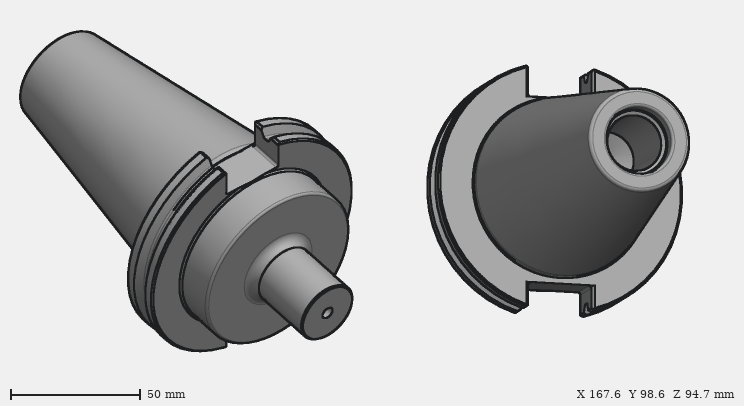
import cadquery as cq
import math


TOTAL_LENGTH = 167.6

TAPER_LENGTH = 101.5
GAUGE_RADIUS = 35.0
TAPER_RATE = 7 / 24
SMALL_END_RADIUS = GAUGE_RADIUS - TAPER_LENGTH * TAPER_RATE / 2
SMALL_END_FILLET = 1.5

FLANGE_RADIUS = 49.3
FLANGE_START = 3.2
FLANGE_END = 19.0
FLANGE_CHAMFER = 0.7
REAR_ROOT_FILLET = 0.5
FRONT_ROOT_FILLET = 0.8
GROOVE_CENTER = 11.2
GROOVE_DEPTH = 3.9
GROOVE_HALF_WIDTH = 3.5
GROOVE_WALL_ANGLE = math.radians(30)
GROOVE_FILLET = 1.0

NOSE_END = 35.0
NOSE_FILLET = 1.0
PIN_RADIUS = 12.5
PIN_FILLET = 4.0

SLOT_WIDTH = 25.5
SLOT_EDGE_CHAMFER = 1.09
SLOT_FLOOR_FILLET = 1.0
TOP_SLOT_FLOOR = 35.2
BOTTOM_SLOT_FLOOR = 37.7

BORE_RADIUS = 13.0
BORE_DEPTH = 6.0
BORE_FILLET = 1.2
THREAD_RADIUS = 10.9
COUNTERSINK_RADIUS = 12.5
COUNTERSINK_LENGTH = 1.0
THREAD_DEPTH = 43.5
COOLANT_RADIUS = 2.43
DRILL_POINT_ANGLE = math.radians(118)

PIN_START = NOSE_END + PIN_FILLET
PIN_END = TOTAL_LENGTH - TAPER_LENGTH
PIN_CHAMFER = 0.5


def revolve_about_x(outline):
    """Close an outline and turn it a full circle about the X axis."""
    return outline.close().revolve(360, (0, 0, 0), (1, 0, 0))


def make_blank():
    """Taper, flange and nose in one turned outline; the last arc runs out to the pin radius."""
    outline = (
        cq.Workplane("XZ")
        .moveTo(-TAPER_LENGTH, 0)
        .lineTo(-TAPER_LENGTH, SMALL_END_RADIUS)
        .lineTo(0, GAUGE_RADIUS)
        .lineTo(FLANGE_START - REAR_ROOT_FILLET, GAUGE_RADIUS)
        .radiusArc((FLANGE_START, GAUGE_RADIUS + REAR_ROOT_FILLET), -REAR_ROOT_FILLET)
        .lineTo(FLANGE_START, FLANGE_RADIUS - FLANGE_CHAMFER)
        .lineTo(FLANGE_START + FLANGE_CHAMFER, FLANGE_RADIUS)
        .lineTo(FLANGE_END - FLANGE_CHAMFER, FLANGE_RADIUS)
        .lineTo(FLANGE_END, FLANGE_RADIUS - FLANGE_CHAMFER)
        .lineTo(FLANGE_END, GAUGE_RADIUS + FRONT_ROOT_FILLET)
        .radiusArc((FLANGE_END + FRONT_ROOT_FILLET, GAUGE_RADIUS), -FRONT_ROOT_FILLET)
        .lineTo(NOSE_END - NOSE_FILLET, GAUGE_RADIUS)
        .radiusArc((NOSE_END, GAUGE_RADIUS - NOSE_FILLET), NOSE_FILLET)
        .lineTo(NOSE_END, PIN_RADIUS + PIN_FILLET)
        .radiusArc((PIN_START, PIN_RADIUS), -PIN_FILLET)
        .lineTo(PIN_START, 0)
    )
    blank = revolve_about_x(outline)
    return blank.faces("<X").edges().fillet(SMALL_END_FILLET)


def make_groove_ring():
    """Trapezoid ring that cuts the V-groove, with rounded bottom corners."""
    bottom_radius = FLANGE_RADIUS - GROOVE_DEPTH
    bottom_half = GROOVE_HALF_WIDTH - GROOVE_DEPTH * math.tan(GROOVE_WALL_ANGLE)
    outline = (
        cq.Workplane("XZ")
        .moveTo(GROOVE_CENTER - GROOVE_HALF_WIDTH, FLANGE_RADIUS)
        .lineTo(GROOVE_CENTER - bottom_half, bottom_radius)
        .lineTo(GROOVE_CENTER + bottom_half, bottom_radius)
        .lineTo(GROOVE_CENTER + GROOVE_HALF_WIDTH, FLANGE_RADIUS)
    )
    ring = revolve_about_x(outline)
    bottom_edges = cq.selectors.RadiusNthSelector(0)
    return ring.edges("%CIRCLE").edges(bottom_edges).fillet(GROOVE_FILLET)


def make_slot(floor):
    """Cutter for an upward-facing slot through the flange, with rounded floor corners."""
    slot_start = FLANGE_START - REAR_ROOT_FILLET
    slot_length = FLANGE_END + FRONT_ROOT_FILLET - slot_start
    return (
        cq.Workplane("XY")
        .workplane(offset=floor)
        .center(slot_start + slot_length / 2, 0)
        .rect(slot_length, SLOT_WIDTH)
        .extrude(FLANGE_RADIUS - floor)
        .edges("|X and <Z")
        .fillet(SLOT_FLOOR_FILLET)
    )


def make_slot_flare(floor):
    """Cutter that bevels the slot walls where they meet the taper side of the flange."""
    half_wall = SLOT_WIDTH / 2
    half_mouth = half_wall + SLOT_EDGE_CHAMFER
    return (
        cq.Workplane("XY")
        .workplane(offset=floor)
        .moveTo(FLANGE_START, -half_mouth)
        .lineTo(FLANGE_START + SLOT_EDGE_CHAMFER, -half_wall)
        .lineTo(FLANGE_START + SLOT_EDGE_CHAMFER, half_wall)
        .lineTo(FLANGE_START, half_mouth)
        .close()
        .extrude(FLANGE_RADIUS - floor)
    )


def cut_slots(blank):
    """Cut both driving slots and bevel their edges; the lower slot is turned half a turn about X."""
    slot_floors = ((0, TOP_SLOT_FLOOR), (180, BOTTOM_SLOT_FLOOR))
    for turn, floor in slot_floors:
        blank = blank.cut(make_slot(floor).rotate((0, 0, 0), (1, 0, 0), turn))

    half_mouth = SLOT_WIDTH / 2 + SLOT_EDGE_CHAMFER
    for side in (1, -1):
        outer_corners = cq.selectors.BoxSelector(
            (FLANGE_START, -half_mouth, side * (FLANGE_RADIUS - GROOVE_DEPTH)),
            (FLANGE_END, half_mouth, side * FLANGE_RADIUS),
        )
        blank = blank.edges("|X").edges(outer_corners).chamfer(SLOT_EDGE_CHAMFER)

    for turn, floor in slot_floors:
        blank = blank.cut(make_slot_flare(floor).rotate((0, 0, 0), (1, 0, 0), turn))
    return blank


def make_bore():
    """Rounded mouth, bore, countersunk step, thread bore, drill cone and coolant hole."""
    mouth = -TAPER_LENGTH
    step_start = mouth + BORE_DEPTH
    cone_start = mouth + THREAD_DEPTH
    cone_length = (THREAD_RADIUS - COOLANT_RADIUS) / math.tan(DRILL_POINT_ANGLE / 2)
    outline = (
        cq.Workplane("XZ")
        .moveTo(mouth, 0)
        .lineTo(mouth, BORE_RADIUS + BORE_FILLET)
        .radiusArc((mouth + BORE_FILLET, BORE_RADIUS), -BORE_FILLET)
        .lineTo(step_start, BORE_RADIUS)
        .lineTo(step_start, COUNTERSINK_RADIUS)
        .lineTo(step_start + COUNTERSINK_LENGTH, THREAD_RADIUS)
        .lineTo(cone_start, THREAD_RADIUS)
        .lineTo(cone_start + cone_length, COOLANT_RADIUS)
        .lineTo(PIN_START, COOLANT_RADIUS)
        .lineTo(PIN_START, 0)
    )
    return revolve_about_x(outline)


def make_holder():
    """Tapered tool holder, the larger body."""
    return cut_slots(make_blank()).cut(make_groove_ring()).cut(make_bore())


def make_pin():
    """Round pin on the end of the nose, with the coolant hole through it."""
    return (
        cq.Workplane("YZ")
        .workplane(offset=PIN_START)
        .circle(PIN_RADIUS)
        .circle(COOLANT_RADIUS)
        .extrude(PIN_END - PIN_START)
        .faces(">X")
        .edges(cq.selectors.RadiusNthSelector(-1))
        .chamfer(PIN_CHAMFER)
    )


holder = make_holder()
pin = make_pin()

result = cq.Compound.makeCompound([holder.val(), pin.val()])